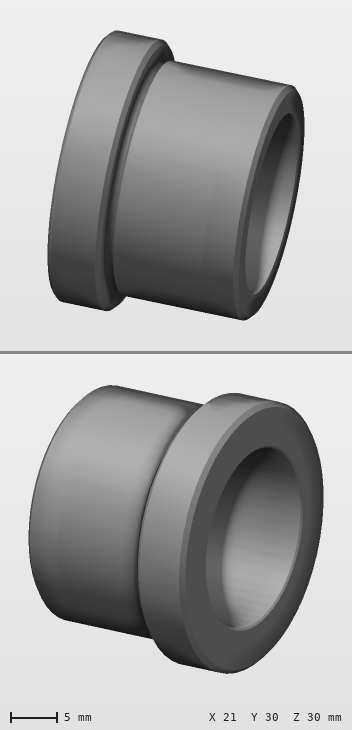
import cadquery as cq
import math

total_length = 21.0
flange_length = 6.0
lead_length = 4.0
flange_radius = 30.0 / 2
body_radius = 26.0 / 2
bore_radius = 20.0 / 2
edge_chamfer = 0.5
bore_chamfer = 0.2
groove_width = 1.0
ledge_depth = 0.2

groove_radius = groove_width / 2
groove_center = flange_length + groove_radius
groove_end = flange_length + groove_width
ledge_radius = body_radius - ledge_depth
ledge_start = groove_center + math.sqrt(groove_radius**2 - ledge_depth**2)
lead_start = total_length - lead_length


def half_section():
    """Wall section above the axis: local x is the part axis, local y the radius."""
    return (
        cq.Workplane("XY")
        .moveTo(0, bore_radius + bore_chamfer)
        .lineTo(0, flange_radius - edge_chamfer)
        .lineTo(edge_chamfer, flange_radius)
        .lineTo(flange_length - edge_chamfer, flange_radius)
        .lineTo(flange_length, flange_radius - edge_chamfer)
        .lineTo(flange_length, body_radius)
        .threePointArc(
            (groove_center, body_radius - groove_radius),
            (ledge_start, ledge_radius),
        )
        .lineTo(groove_end, ledge_radius)
        .lineTo(groove_end, body_radius)
        .lineTo(lead_start, body_radius)
        .lineTo(total_length - edge_chamfer, body_radius)
        .lineTo(total_length, body_radius - edge_chamfer)
        .lineTo(total_length, bore_radius)
        .lineTo(bore_chamfer, bore_radius)
        .close()
    )


result = half_section().revolve(360, (0, 0, 0), (1, 0, 0), clean=False)